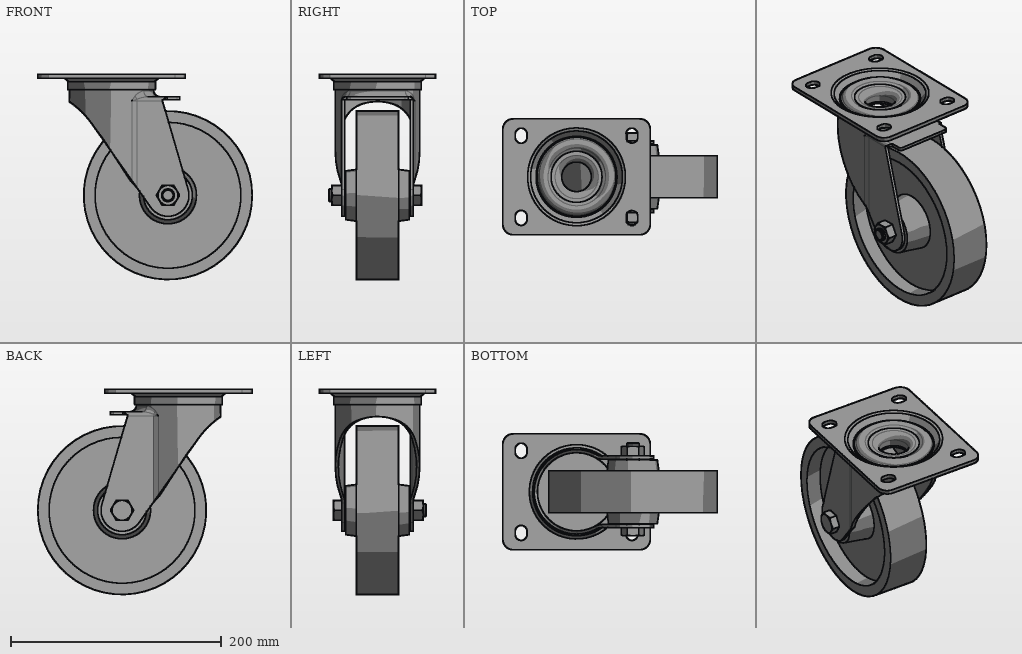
import cadquery as cq
import math


plate_thickness = 4.0
fork_sheet = 3.0
joint_z = -7.3

plate_length = 140.0
plate_width = 110.0
plate_corner_radius = 10.0
slot_width = 11.0
slot_length = 14.0
slot_pitch_x = 105.0
slot_pitch_y = 78.0

dish_rim_radius = 46.4
dish_cone_radius = 43.5
dish_cone_z = -1.0
dish_floor_radius = 38.5
dish_floor_z = -6.0
ridge_foot_radius = 37.5
ridge_foot_z = -5.7
ridge_outer_radius = 36.0
ridge_outer_z = -4.5
ridge_crest_radius = 31.7
ridge_crest_z = -1.6
ridge_inner_radius = 27.3
ridge_inner_z = -3.0
underside_rim_radius = 44.8
underside_floor_radius = 37.5
seat_radius = 24.2
seat_z = -4.7
bore_radius = 14.0
bore_rounding = 6.5
neck_bottom_z = -18.0
neck_outer_radius = bore_radius + plate_thickness

wheel_radius = 80.0
wheel_width = 40.0
axle_x = 53.5
axle_z = -115.0
rim_inner_radius = 69.2
web_thickness = 10.5
hub_length = 60.6
hub_end_radius = 23.2
hub_mid_radius = 24.6
hub_web_radius = 27.0

collar_radius = 41.7
collar_bottom_z = -15.0
collar_rounding = 1.0
head_radius = 40.0
head_blend_radius = 10.5
flange_z = -21.4
flange_floor_z = flange_z - fork_sheet
cup_floor_z = -20.0
flange_rounding = 5.7
bend_radius = 4.0
bend_bottom_z = flange_z - bend_radius
leg_outer_y = 34.0
leg_inner_y = leg_outer_y - fork_sheet
leg_tip_radius = 20.0
leg_rear_x = 48.0
leg_end_x = axle_x + leg_tip_radius
front_edge_angle = 54.8
front_edge_top_z = -26.3
front_bend_x = -18.7
tab_end_x = 65.0
tab_corner_radius = 3.3
tab_inner_radius = 4.9

bolt_diameter = 12.0
bolt_end_y = -46.4
bolt_end_chamfer = 1.0
hex_across_flats = 19.0
head_outer_y = 41.7
nut_outer_y = -43.3
hex_corner_chamfer_angle = 30


def make_plate():
    flat = (
        cq.Workplane("XY")
        .box(plate_length, plate_width, plate_thickness, centered=(True, True, False))
        .translate((0, 0, -plate_thickness))
        .edges("|Z")
        .fillet(plate_corner_radius)
    )
    slots = (
        cq.Workplane("XY")
        .rarray(slot_pitch_x, slot_pitch_y, 2, 2)
        .slot2D(slot_length, slot_width, 90)
        .extrude(-plate_thickness)
    )
    opening = cq.Workplane("XY").circle(dish_rim_radius).extrude(-plate_thickness)
    return flat.cut(slots).cut(opening).union(make_dish())


def make_dish():
    underside_z = dish_floor_z - plate_thickness
    mid_rounding = bore_rounding * math.sqrt(0.5)
    rounding_x = bore_radius + bore_rounding
    rounding_z = seat_z - bore_rounding
    return (
        cq.Workplane("XZ")
        .moveTo(dish_rim_radius, -plate_thickness)
        .lineTo(dish_rim_radius, 0)
        .lineTo(dish_cone_radius, dish_cone_z)
        .lineTo(dish_floor_radius, dish_floor_z)
        .lineTo(ridge_foot_radius, ridge_foot_z)
        .lineTo(ridge_outer_radius, ridge_outer_z)
        .threePointArc((ridge_crest_radius, ridge_crest_z), (ridge_inner_radius, ridge_inner_z))
        .lineTo(seat_radius, seat_z)
        .lineTo(rounding_x, seat_z)
        .threePointArc((rounding_x - mid_rounding, rounding_z + mid_rounding), (bore_radius, rounding_z))
        .lineTo(bore_radius, neck_bottom_z)
        .lineTo(neck_outer_radius, neck_bottom_z)
        .lineTo(neck_outer_radius, underside_z)
        .lineTo(underside_floor_radius, underside_z)
        .lineTo(underside_rim_radius, -plate_thickness)
        .close()
        .revolve(360, (0, 0, 0), (0, 1, 0))
    )


def fork_plan(inset, rear_x):
    """Outline seen along Z: round head blending into two parallel legs."""
    radius = head_radius - inset
    half_width = leg_outer_y - inset
    blend = head_blend_radius + inset
    blend_y = half_width + blend
    blend_x = math.sqrt((radius + blend) ** 2 - blend_y ** 2)
    touch = radius / (radius + blend)
    mid_angle = (math.atan2(-blend_y, -blend_x) - math.pi / 2) / 2
    if mid_angle > -math.pi / 2:
        mid_angle -= math.pi
    mid_x = blend_x + blend * math.cos(mid_angle)
    mid_y = blend_y + blend * math.sin(mid_angle)
    return (
        cq.Workplane("XY")
        .moveTo(rear_x, -half_width)
        .lineTo(rear_x, half_width)
        .lineTo(blend_x, half_width)
        .threePointArc((mid_x, mid_y), (blend_x * touch, blend_y * touch))
        .threePointArc((-radius, 0), (blend_x * touch, -blend_y * touch))
        .threePointArc((mid_x, -mid_y), (blend_x, -half_width))
        .close()
    )


def fork_side():
    """Outline seen along Y: head, rear tab and legs tapering to a round tip."""
    slope = math.radians(front_edge_angle)
    front_x = axle_x - leg_tip_radius * math.sin(slope)
    front_z = axle_z - leg_tip_radius * math.cos(slope)
    bend_z = front_z + (front_x - front_bend_x) * math.tan(slope)
    corner_dx = leg_rear_x - axle_x
    corner_dz = flange_floor_z - axle_z
    turn = math.acos(leg_tip_radius / math.hypot(corner_dx, corner_dz))
    rear_angle = math.atan2(corner_dz, corner_dx) - turn
    rear_x = axle_x + leg_tip_radius * math.cos(rear_angle)
    rear_z = axle_z + leg_tip_radius * math.sin(rear_angle)
    return (
        cq.Workplane("XZ")
        .moveTo(-head_radius, joint_z)
        .lineTo(tab_end_x, joint_z)
        .lineTo(tab_end_x, flange_floor_z)
        .lineTo(leg_rear_x, flange_floor_z)
        .lineTo(rear_x, rear_z)
        .threePointArc((axle_x, axle_z - leg_tip_radius), (front_x, front_z))
        .lineTo(front_bend_x, bend_z)
        .tangentArcPoint((-head_radius, front_edge_top_z), relative=False)
        .close()
        .extrude(head_radius, both=True)
    )


def tab_trim(side):
    """Cutter that narrows the flange to the tab, with a round inner corner."""
    edge_y = leg_outer_y - tab_inner_radius
    return (
        cq.Workplane("XY", origin=(0, 0, joint_z))
        .moveTo(leg_rear_x, side * leg_outer_y)
        .radiusArc((leg_rear_x + tab_inner_radius, side * edge_y), side * tab_inner_radius)
        .lineTo(tab_end_x - tab_corner_radius, side * edge_y)
        .radiusArc((tab_end_x, side * (edge_y - tab_corner_radius)), side * tab_corner_radius)
        .lineTo(tab_end_x, side * leg_outer_y)
        .close()
        .extrude(flange_floor_z - joint_z)
    )


def make_head():
    """Upper part of the fork: collar, round head and the flange with its tab."""
    blank_depth = 2 * (flange_z - bend_bottom_z)
    legs = fork_plan(0, leg_end_x).extrude(-blank_depth).translate((0, 0, flange_z))
    flange_edges = cq.selectors.BoxSelector(
        (0, -head_radius, flange_z - 0.2), (leg_end_x - 0.2, head_radius, flange_z + 0.2)
    )
    legs = legs.edges(flange_edges).fillet(bend_radius)
    drum = (
        cq.Workplane("XY", origin=(0, 0, joint_z))
        .circle(head_radius)
        .extrude(flange_z - blank_depth - joint_z)
    )
    upper_space = cq.Workplane("XY", origin=(0, 0, bend_bottom_z)).circle(plate_length).extrude(plate_length)
    foot_ring = cq.selectors.BoxSelector(
        (0, -leg_inner_y, flange_z - 0.2), (head_radius, leg_inner_y, flange_z + 0.2)
    )
    head = legs.union(drum).edges(foot_ring).edges("%CIRCLE").fillet(flange_rounding)
    head = head.intersect(fork_side()).intersect(upper_space)
    for side in (-1, 1):
        head = head.cut(tab_trim(side))
    cavity = fork_plan(fork_sheet, plate_length).extrude(bend_bottom_z - flange_floor_z)
    collar = (
        cq.Workplane("XY", origin=(0, 0, joint_z))
        .circle(collar_radius)
        .extrude(collar_bottom_z - joint_z)
        .faces("<Z")
        .edges()
        .fillet(collar_rounding)
    )
    neck_hole = cq.Workplane("XY").circle(neck_outer_radius).extrude(neck_bottom_z)
    bore = cq.Workplane("XY").circle(bore_radius).extrude(cup_floor_z)
    head = head.cut(cavity.translate((0, 0, flange_floor_z))).union(collar)
    cup = (
        cq.Workplane("XY", origin=(0, 0, cup_floor_z))
        .circle(head_radius - fork_sheet)
        .extrude(bend_bottom_z - cup_floor_z)
    )
    return head.cut(cup).cut(make_dish()).cut(neck_hole).cut(bore)


def make_fork():
    """Head plus bent sheet walls, whose cut edges stay square to the sheet."""
    fork = make_head()
    wall_height = bend_bottom_z - axle_z + leg_tip_radius
    prism = fork_plan(0, leg_end_x).extrude(-wall_height).translate((0, 0, bend_bottom_z))
    side_outline = fork_side().val()
    for surface in prism.faces("(not |Z) and (not |X)").vals():
        for face in surface.intersect(side_outline).Faces():
            fork = fork.union(cq.Workplane(face.thicken(-fork_sheet)))
    return fork.cut(bolt_hole())


def make_wheel():
    half_hub = hub_length / 2
    half_width = wheel_width / 2
    half_web = web_thickness / 2
    section = (
        cq.Workplane("XY")
        .moveTo(0, -half_hub)
        .lineTo(hub_end_radius, -half_hub)
        .threePointArc((hub_mid_radius, -half_width), (hub_web_radius, -half_web))
        .lineTo(rim_inner_radius, -half_web)
        .lineTo(rim_inner_radius, -half_width)
        .lineTo(wheel_radius, -half_width)
        .lineTo(wheel_radius, half_width)
        .lineTo(rim_inner_radius, half_width)
        .lineTo(rim_inner_radius, half_web)
        .lineTo(hub_web_radius, half_web)
        .threePointArc((hub_mid_radius, half_width), (hub_end_radius, half_hub))
        .lineTo(0, half_hub)
        .close()
    )
    wheel = section.revolve(360, (0, 0, 0), (0, 1, 0))
    return wheel.translate((axle_x, 0, axle_z)).cut(bolt_hole())


def axle_cylinder(diameter, start_y, end_y):
    return (
        cq.Workplane("XZ", origin=(axle_x, start_y, axle_z))
        .circle(diameter / 2)
        .extrude(start_y - end_y)
    )


def bolt_hole():
    return axle_cylinder(bolt_diameter, plate_width / 2, -plate_width / 2)


def hexagon(inner_y, outer_y):
    """Hexagon standing on the fork leg, its outer corners turned to a cone."""
    corner_diameter = hex_across_flats / math.cos(math.pi / 6)
    corner_depth = (corner_diameter - hex_across_flats) / 2
    drop = corner_depth * math.tan(math.radians(hex_corner_chamfer_angle))
    block = (
        cq.Workplane("XZ", origin=(axle_x, inner_y, axle_z))
        .polygon(6, corner_diameter)
        .extrude(inner_y - outer_y)
    )
    turned = axle_cylinder(corner_diameter, inner_y, outer_y)
    outer_face = ">Y" if outer_y > inner_y else "<Y"
    turned = turned.faces(outer_face).chamfer(drop, corner_depth)
    return block.intersect(turned)


def make_bolt():
    shank = axle_cylinder(bolt_diameter, leg_outer_y, bolt_end_y)
    shank = shank.faces("<Y").chamfer(bolt_end_chamfer)
    head = hexagon(leg_outer_y, head_outer_y)
    nut = hexagon(-leg_outer_y, nut_outer_y)
    return shank.union(head).union(nut)


plate = make_plate()
fork = make_fork()
wheel = make_wheel()
bolt = make_bolt()

result = cq.Compound.makeCompound([plate.val(), fork.val(), wheel.val(), bolt.val()])